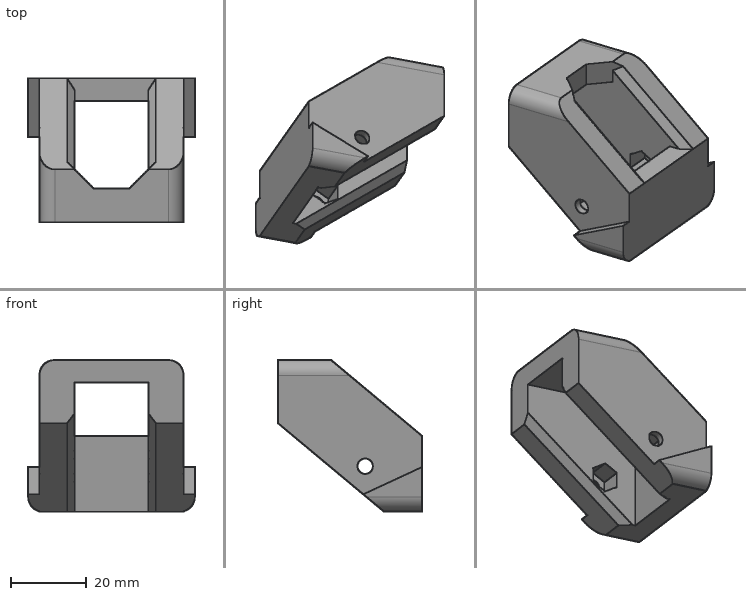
import cadquery as cq
import math

body_width = 38.0
body_depth = 38.0
body_height = 40.0
top_flat_depth = 14.0
back_height = 20.0
base_front = 28.0
corner_radius = 4.0
slope_angle = math.atan2(body_height - back_height, body_depth - top_flat_depth)

wing_thickness = 3.0
wing_back_height = 11.8
wing_front_height = 4.6
overall_width = body_width + 2 * wing_thickness

cavity_width = 19.4
wall = 6.0
rim_chamfer = 2.0
notch_depth = 5.0
cavity_half = cavity_width / 2
rim_half = cavity_half + rim_chamfer

pin_diameter = 4.0
pin_y = 23.0
pin_z = 12.0
hole_skin = 2.25
nut_across_flats = 7.0


def block(width, depth, height):
    """Box centred on X, standing on the base with its front at Y = 0."""
    return cq.Workplane("XY").box(width, depth, height, centered=(True, False, False))


def side_prism(points):
    """Y-Z outline extruded over the full width, centred on X."""
    return cq.Workplane("YZ").polyline(points).close().extrude(overall_width / 2, both=True)


def make_envelope():
    """Side outline of the whole part, between the two slopes."""
    return side_prism([
        (0, base_front * math.tan(slope_angle)),
        (base_front, 0),
        (body_depth, 0),
        (body_depth, back_height),
        (top_flat_depth, body_height),
        (0, body_height),
    ])


def make_body():
    """Central body with rounded top edges."""
    return block(body_width, body_depth, body_height).edges("|Y and >Z").fillet(corner_radius)


def make_wings():
    """Full-width wedge with rounded bottom edges; its two ends are the wings."""
    wing_front_y = base_front - wing_front_height / math.tan(slope_angle)
    wedge = side_prism([
        (0, 0),
        (body_depth, 0),
        (body_depth, wing_back_height),
        (wing_front_y, wing_front_height),
        (0, wing_front_height),
    ])
    rounded = block(overall_width, body_depth, body_height).edges("|Y and <Z").fillet(corner_radius)
    return rounded.intersect(wedge)


def make_top_opening(half_width):
    """Opening above the back wall, its front narrowing at 45 degrees into the roof notch."""
    notch_half = cavity_half - notch_depth
    notch_y = top_flat_depth - notch_depth
    shoulder_y = notch_y + half_width - notch_half
    outline = [
        (-half_width, body_depth),
        (-half_width, shoulder_y),
        (-notch_half, notch_y),
        (notch_half, notch_y),
        (half_width, shoulder_y),
        (half_width, body_depth),
    ]
    opening = cq.Workplane("XY").workplane(offset=back_height).polyline(outline).close()
    return opening.extrude(body_height - back_height)


def make_rim(start_y, start_z, depth):
    """Tapered bar along a slope that chamfers the cavity walls; depth is positive downward."""
    down_slope = (0, math.cos(slope_angle), -math.sin(slope_angle))
    section = cq.Plane(origin=(0, start_y, start_z), xDir=(1, 0, 0), normal=down_slope)
    outline = [
        (-rim_half, 0),
        (rim_half, 0),
        (cavity_half, depth),
        (-cavity_half, depth),
    ]
    bar_half_length = body_depth + body_height
    return cq.Workplane(section).polyline(outline).close().extrude(bar_half_length, both=True)


def make_cavity():
    """Channel under the roof, the opening above it and the chamfers along both slopes."""
    channel = block(cavity_width, body_depth - wall, body_height - wall)
    top_rim = make_rim(top_flat_depth, body_height, rim_chamfer).intersect(make_top_opening(rim_half))
    bottom_rim = make_rim(base_front, 0, -rim_chamfer)
    return channel.union(make_top_opening(cavity_half)).union(top_rim).union(bottom_rim)


def make_pin_hole():
    """Round cross hole, widened to a hexagonal nut pocket on the cavity side of both walls."""
    pin_axis = cq.Workplane("YZ").center(pin_y, pin_z)
    hole = pin_axis.circle(pin_diameter / 2).extrude(overall_width / 2, both=True)
    nut_corner_radius = nut_across_flats / math.sqrt(3)
    pocket_reach = body_width / 2 - hole_skin
    hexagon = cq.Sketch().regularPolygon(nut_corner_radius, 6)
    pockets = pin_axis.placeSketch(hexagon).extrude(pocket_reach, both=True)
    return hole.union(pockets)


solid_part = make_body().union(make_wings()).intersect(make_envelope())
result = solid_part.cut(make_cavity()).cut(make_pin_hole())